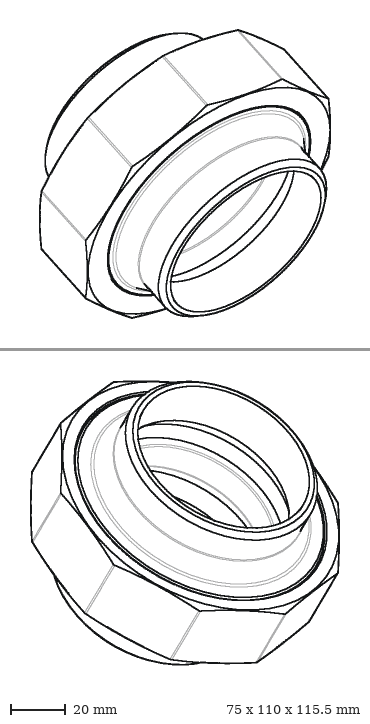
import cadquery as cq
import math

TOTAL_LENGTH = 75.0
LEFT_END = -TOTAL_LENGTH / 2
RIGHT_END = TOTAL_LENGTH / 2

NUT_SIDES = 10
NUT_FLATS = 110.0
NUT_WIDTH = 30
NUT_CENTER = -0.5
NUT_LEFT = NUT_CENTER - NUT_WIDTH / 2
NUT_RIGHT = NUT_CENTER + NUT_WIDTH / 2
NUT_CORNER_RADIUS = NUT_FLATS / 2 / math.cos(math.pi / NUT_SIDES)
NUT_EDGE_FILLET = 1.2
NUT_FACE_RADIUS = 54.8
NUT_CHAMFER_ANGLE = 22

THREAD_RADIUS = 49.6
NUT_MOUTH_RADIUS = 100.3 / 2
THREAD_TIP_RADIUS = 97.4 / 2

SHOULDER_RADIUS = 92.0 / 2
SHOULDER_THICKNESS = 4.6
SHOULDER_LEFT = NUT_RIGHT - SHOULDER_THICKNESS
COLLAR_RADIUS = 96.5 / 2
NECK_RADIUS = 91.0 / 2
JOINT_X = -3.9

PIPE_RADIUS = 76.2 / 2
WELD_CHAMFER = 2.1
CONE_SLOPE = math.tan(math.radians(30))
CONE_LENGTH = 8.5
CONE_TOP_RADIUS = PIPE_RADIUS + CONE_LENGTH * CONE_SLOPE
CONE_FILLET = 1.2

BORE_RADIUS = 68.1 / 2
WIDE_BORE_RADIUS = 75.5 / 2
LEFT_FLARE_START = -18.0
BORE_CONE_LENGTH = (WIDE_BORE_RADIUS - BORE_RADIUS) / CONE_SLOPE
LEFT_FLARE_END = LEFT_FLARE_START + BORE_CONE_LENGTH
LIP_FILLET = 0.6

RECESS_START = 7.9
RECESS_PEAK = RECESS_START + BORE_CONE_LENGTH
RECESS_END = RECESS_PEAK + BORE_CONE_LENGTH
RECESS_FILLET = 1.2

MATCH_TOLERANCE = 0.01


def revolve_about_x(profile):
    """Revolve a closed (x, radius) outline about the X axis."""
    return cq.Workplane("XY").polyline(profile).close().revolve(360, (0, 0, 0), (1, 0, 0))


def fillet_circle(body, x, radius, fillet_radius):
    """Round the circular edge of the given radius that lies at x."""
    circles = body.edges("%CIRCLE").filter(
        lambda edge: math.isclose(edge.arcCenter().x, x, abs_tol=MATCH_TOLERANCE)
        and math.isclose(edge.radius(), radius, abs_tol=MATCH_TOLERANCE)
    )
    return circles.fillet(fillet_radius)


def make_nut():
    corners = []
    for i in range(NUT_SIDES):
        angle = math.pi / 2 + i * 2 * math.pi / NUT_SIDES
        corners.append((NUT_CORNER_RADIUS * math.cos(angle), NUT_CORNER_RADIUS * math.sin(angle)))
    prism = cq.Workplane("YZ", origin=(NUT_LEFT, 0, 0)).polyline(corners).close().extrude(NUT_WIDTH)
    prism = prism.edges("|X").fillet(NUT_EDGE_FILLET)

    chamfer_rise = NUT_CORNER_RADIUS - NUT_FACE_RADIUS
    chamfer_width = chamfer_rise * math.tan(math.radians(NUT_CHAMFER_ANGLE))
    turned = revolve_about_x([
        (NUT_LEFT, NUT_MOUTH_RADIUS),
        (NUT_LEFT, NUT_FACE_RADIUS),
        (NUT_LEFT + chamfer_width, NUT_CORNER_RADIUS),
        (NUT_RIGHT - chamfer_width, NUT_CORNER_RADIUS),
        (NUT_RIGHT, NUT_FACE_RADIUS),
        (NUT_RIGHT, SHOULDER_RADIUS),
        (SHOULDER_LEFT, SHOULDER_RADIUS),
        (SHOULDER_LEFT, THREAD_RADIUS),
        (NUT_LEFT + NUT_MOUTH_RADIUS - THREAD_RADIUS, THREAD_RADIUS),
    ])
    return prism.intersect(turned)


def make_threaded_tailpiece():
    cone_start = NUT_LEFT - CONE_LENGTH
    tailpiece = revolve_about_x([
        (LEFT_END, BORE_RADIUS),
        (LEFT_END, PIPE_RADIUS - WELD_CHAMFER),
        (LEFT_END + WELD_CHAMFER, PIPE_RADIUS),
        (cone_start, PIPE_RADIUS),
        (NUT_LEFT, CONE_TOP_RADIUS),
        (NUT_LEFT, THREAD_TIP_RADIUS),
        (NUT_LEFT + THREAD_RADIUS - THREAD_TIP_RADIUS, THREAD_RADIUS),
        (JOINT_X, THREAD_RADIUS),
        (JOINT_X, WIDE_BORE_RADIUS),
        (LEFT_FLARE_END, WIDE_BORE_RADIUS),
        (LEFT_FLARE_START, BORE_RADIUS),
    ])
    tailpiece = fillet_circle(tailpiece, cone_start, PIPE_RADIUS, CONE_FILLET)
    return fillet_circle(tailpiece, NUT_LEFT, CONE_TOP_RADIUS, CONE_FILLET)


def make_collar_tailpiece():
    cone_end = NUT_RIGHT + CONE_LENGTH
    tailpiece = revolve_about_x([
        (JOINT_X, BORE_RADIUS),
        (JOINT_X, COLLAR_RADIUS),
        (SHOULDER_LEFT, COLLAR_RADIUS),
        (SHOULDER_LEFT, NECK_RADIUS),
        (NUT_RIGHT, NECK_RADIUS),
        (NUT_RIGHT, CONE_TOP_RADIUS),
        (cone_end, PIPE_RADIUS),
        (RIGHT_END - WELD_CHAMFER, PIPE_RADIUS),
        (RIGHT_END, PIPE_RADIUS - WELD_CHAMFER),
        (RIGHT_END, BORE_RADIUS),
        (RECESS_END, BORE_RADIUS),
        (RECESS_PEAK, WIDE_BORE_RADIUS),
        (RECESS_START, BORE_RADIUS),
    ])
    tailpiece = fillet_circle(tailpiece, cone_end, PIPE_RADIUS, CONE_FILLET)
    tailpiece = fillet_circle(tailpiece, NUT_RIGHT, CONE_TOP_RADIUS, CONE_FILLET)
    tailpiece = fillet_circle(tailpiece, JOINT_X, BORE_RADIUS, LIP_FILLET)
    return fillet_circle(tailpiece, RECESS_START, BORE_RADIUS, RECESS_FILLET)


nut = make_nut()
threaded_tailpiece = make_threaded_tailpiece()
collar_tailpiece = make_collar_tailpiece()

result = cq.Compound.makeCompound([nut.val(), threaded_tailpiece.val(), collar_tailpiece.val()])